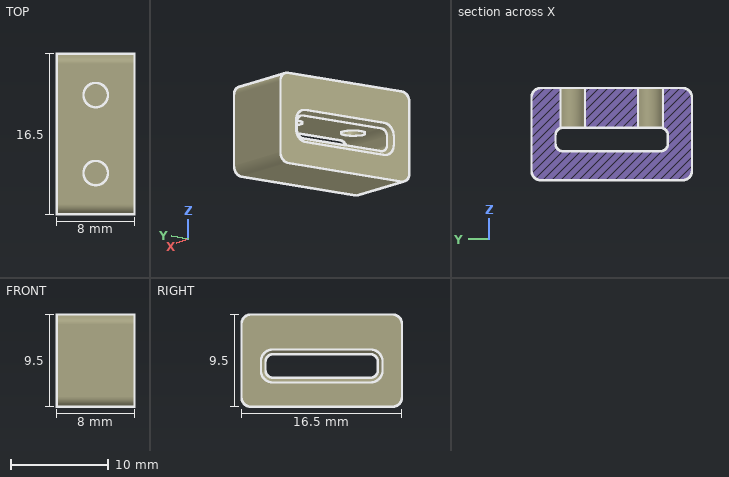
import cadquery as cq

width = 8.0
length = 16.5
height = 9.5
corner_radius = 1.0

slot_length = 11.5
slot_height = 2.4
slot_corner_radius = 0.75
slot_floor = 3.0
slot_chamfer = 0.5
selection_margin = 0.16
slot_center_z = slot_floor + slot_height / 2

hole_diameter = 2.5
hole_spacing = 8.0


def make_body():
    block = cq.Workplane("XY").box(width, length, height, centered=(True, True, False))
    return block.edges("|X").fillet(corner_radius)


def cut_slot(body):
    """Cut the rounded passage and chamfer its mouth at both ends."""
    passage = (
        cq.Workplane("XY")
        .box(width, slot_length, slot_height)
        .edges("|X")
        .fillet(slot_corner_radius)
        .translate((0, 0, slot_center_z))
    )
    slotted = body.cut(passage)
    mouth_zone = cq.selectors.BoxSelector(
        (-width, -slot_length / 2 - selection_margin, slot_floor - selection_margin),
        (width, slot_length / 2 + selection_margin, slot_floor + slot_height + selection_margin),
    )
    mouth_edges = slotted.faces("<X or >X").edges(mouth_zone)
    return mouth_edges.chamfer(slot_chamfer)


def make_holes():
    return (
        cq.Workplane("XY", origin=(0, 0, slot_center_z))
        .pushPoints([(0, -hole_spacing / 2), (0, hole_spacing / 2)])
        .circle(hole_diameter / 2)
        .extrude(height - slot_center_z)
    )


result = cut_slot(make_body()).cut(make_holes())